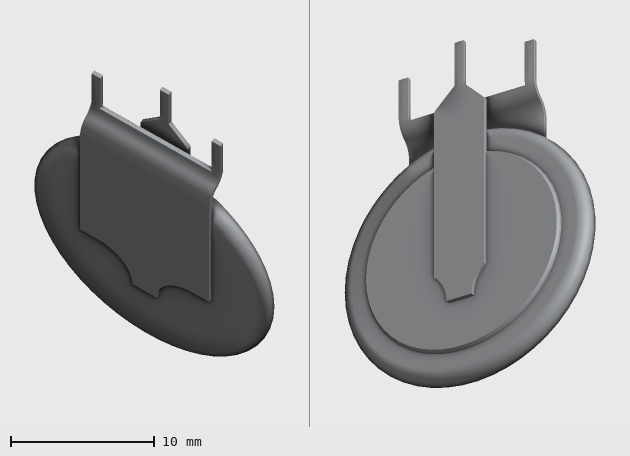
import cadquery as cq
import math

cell_radius = 10.0
cell_depth = 1.75
rim_radius = cell_depth / 2
cap_height = 0.32
cap_base_radius = 7.9
cap_top_radius = 7.72

sheet = 0.32
top_z = 26.8 - cell_radius
pin_width = 0.75
tongue_half_width = 1.02
tongue_bottom_z = -3.97
tongue_arc_radius = 2.97

front_half_width = 5.47
front_pin_top_z = 15.85
front_notch_z = 12.35
joggle_start_z = 10.25
joggle_offset = 1.4
joggle_angle = math.radians(57)

rear_half_width = 2.0
rear_taper_top_z = 13.32

cell_front_y = sheet
cell_back_y = cell_front_y + cell_depth
rear_plate_y = cell_back_y + cap_height
total_depth = rear_plate_y + sheet


def make_cell():
    """Disc with a fully rounded rim and a conical cap on its back, revolved about Y."""
    flat_radius = cell_radius - rim_radius
    return (
        cq.Workplane("XY")
        .moveTo(0, cell_front_y)
        .lineTo(flat_radius, cell_front_y)
        .threePointArc((cell_radius, cell_front_y + rim_radius), (flat_radius, cell_back_y))
        .lineTo(cap_base_radius, cell_back_y)
        .lineTo(cap_top_radius, rear_plate_y)
        .lineTo(0, rear_plate_y)
        .close()
        .revolve(360, (0, 0, 0), (0, 1, 0))
    )


def extrude_back(outline, depth):
    """Extrude an XZ outline towards +Y."""
    return outline.extrude(-depth)


def make_tongue_cutters(depth):
    """Round and square tools that leave the central tongue at the foot of a plate."""
    arc_center_x = tongue_half_width + tongue_arc_radius
    corner_width = front_half_width - arc_center_x
    corner_x = arc_center_x + corner_width / 2
    cylinders = (
        cq.Workplane("XZ")
        .pushPoints([(side * arc_center_x, tongue_bottom_z) for side in (-1, 1)])
        .circle(tongue_arc_radius)
    )
    corners = (
        cq.Workplane("XZ")
        .pushPoints([(side * corner_x, tongue_bottom_z + tongue_arc_radius / 2) for side in (-1, 1)])
        .rect(corner_width, tongue_arc_radius)
    )
    return extrude_back(cylinders, depth).union(extrude_back(corners, depth))


def make_front_terminal():
    """Bent strip extruded across X, then cut to form the tongue and the two pins."""
    mid_radius = joggle_offset / (2 * (1 - math.cos(joggle_angle)))
    outer_radius = mid_radius + sheet / 2
    inner_radius = mid_radius - sheet / 2
    upper_center_y = joggle_offset + sheet - outer_radius
    upper_center_z = joggle_start_z + 2 * mid_radius * math.sin(joggle_angle)

    def lower_bend(radius, angle):
        return outer_radius - radius * math.cos(angle), joggle_start_z + radius * math.sin(angle)

    def upper_bend(radius, angle):
        return upper_center_y + radius * math.cos(angle), upper_center_z - radius * math.sin(angle)

    half_angle = joggle_angle / 2
    strip = (
        cq.Workplane("YZ")
        .moveTo(0, tongue_bottom_z)
        .lineTo(0, joggle_start_z)
        .threePointArc(lower_bend(outer_radius, half_angle), lower_bend(outer_radius, joggle_angle))
        .threePointArc(upper_bend(inner_radius, half_angle), upper_bend(inner_radius, 0))
        .lineTo(joggle_offset, front_pin_top_z)
        .lineTo(joggle_offset + sheet, front_pin_top_z)
        .lineTo(*upper_bend(outer_radius, 0))
        .threePointArc(upper_bend(outer_radius, half_angle), upper_bend(outer_radius, joggle_angle))
        .threePointArc(lower_bend(inner_radius, half_angle), lower_bend(inner_radius, 0))
        .lineTo(sheet, tongue_bottom_z)
        .close()
        .extrude(front_half_width, both=True)
    )
    notch_width = 2 * (front_half_width - pin_width)
    notch_height = front_pin_top_z - front_notch_z
    notch = cq.Workplane("XY").box(
        notch_width, total_depth, notch_height, centered=(True, False, False)
    ).translate((0, 0, front_notch_z))
    return strip.cut(notch).cut(make_tongue_cutters(sheet))


def make_rear_terminal():
    """Flat plate with a tapered shoulder, one pin and the same tongue shape at its foot."""
    pin_half_width = pin_width / 2
    shoulder_z = rear_taper_top_z - (rear_half_width - pin_half_width)
    right_edge = [
        (rear_half_width, tongue_bottom_z),
        (rear_half_width, shoulder_z),
        (pin_half_width, rear_taper_top_z),
        (pin_half_width, top_z),
    ]
    left_edge = [(-x, z) for x, z in reversed(right_edge)]
    outline = cq.Workplane("XZ").polyline(right_edge + left_edge).close()
    plate = extrude_back(outline, sheet).cut(make_tongue_cutters(sheet))
    return plate.translate((0, rear_plate_y, 0))


result = make_cell().union(make_front_terminal()).union(make_rear_terminal())